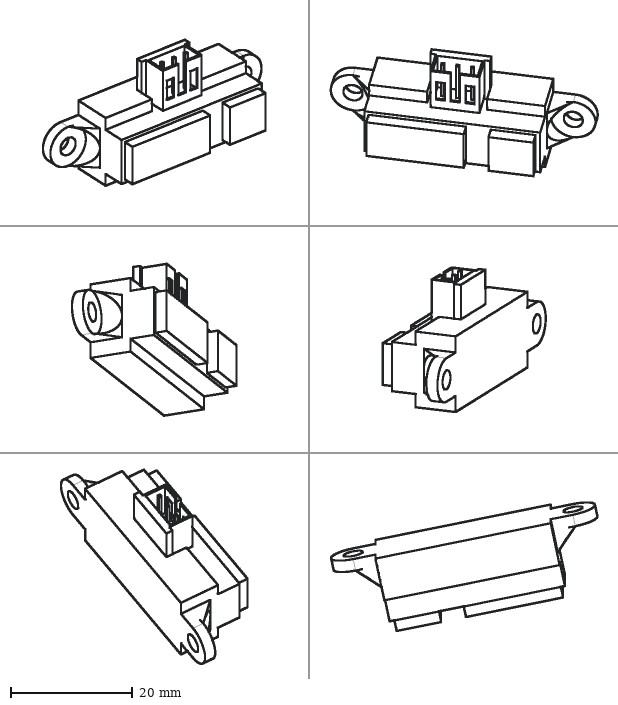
import cadquery as cq

overall_length = 44.5
ear_radius = 3.75
ear_thickness = 2.0
ear_hole_diameter = 3.2
ear_hole_offset = overall_length / 2 - ear_radius

rear_depth = 7.25
rear_height = 13.0
housing_length = 2 * (ear_hole_offset - ear_radius)
front_face_x = 11.5
front_height = 8.45
lens_face_x = 13.5
lens_height = 7.15
small_lens_length = 7.5
small_lens_y = 10.25
large_lens_length = 16.38
large_lens_y = -5.87

rear_top_z = rear_height / 2
front_top_z = front_height / 2
board_top_z = 12.4
board_back_x = 3.35
board_front_x = 4.55
board_width = 10.05

connector_front_x = 9.0
connector_bottom_z = 4.75
connector_width = 8.2
connector_wall = 0.3
connector_floor = 1.0
key_slot_width = 1.5
window_width = 1.5
window_offset = 2.5
window_top_drop = 2.22
pin_size = 0.5
pin_pitch = 2.5


def block(x_range, y_center, y_length, z_range):
    """Box spanning the given X and Z ranges, centred on y_center."""
    x_min, x_max = x_range
    z_min, z_max = z_range
    return (
        cq.Workplane("XY")
        .box(x_max - x_min, y_length, z_max - z_min, centered=(False, True, False))
        .translate((x_min, y_center, z_min))
    )


def centered_block(x_range, y_center, y_length, height):
    """Box whose height is centred on the housing's mid-plane."""
    return block(x_range, y_center, y_length, (-height / 2, height / 2))


def cylinder(y_center, radius, x_min, length):
    """Cylinder along X at mid-height."""
    return cq.Workplane("YZ", origin=(x_min, 0, 0)).center(y_center, 0).circle(radius).extrude(length)


def make_housing():
    """Stepped body, lens covers and the notch the connector sits in."""
    housing = centered_block((0, rear_depth), 0, housing_length, rear_height)
    housing = housing.union(centered_block((0, front_face_x), 0, housing_length, front_height))
    for lens_y, lens_length in ((small_lens_y, small_lens_length), (large_lens_y, large_lens_length)):
        housing = housing.union(
            centered_block((rear_depth, lens_face_x), lens_y, lens_length, lens_height)
        )
    notch = block((board_front_x, rear_depth), 0, board_width, (front_top_z, rear_top_z))
    return housing.cut(notch)


def make_ear():
    """Ear at the +Y end, with a 45 degree gusset hollowed by a round recess over the hole."""
    gusset_reach = ear_thickness + ear_radius
    housing_end = housing_length / 2
    gusset = (
        cq.Workplane("XY", origin=(0, 0, -ear_radius))
        .polyline([
            (0, housing_end),
            (gusset_reach, housing_end),
            (ear_thickness, ear_hole_offset),
            (0, ear_hole_offset),
        ])
        .close()
        .extrude(2 * ear_radius)
    )
    recess = cylinder(ear_hole_offset, ear_radius, ear_thickness, ear_radius)
    tip = cylinder(ear_hole_offset, ear_radius, 0, ear_thickness)
    hole = cylinder(ear_hole_offset, ear_hole_diameter / 2, 0, ear_thickness)
    return gusset.cut(recess).union(tip).cut(hole)


def make_connector():
    """Circuit board and connector box with its key slot, two windows and pins.

    The slot and windows stop level with the top of the housing, and the pins end
    flush with the rim.
    """
    board = block((board_back_x, board_front_x), 0, board_width, (front_top_z, board_top_z))
    shell = block(
        (board_front_x, connector_front_x), 0, connector_width, (connector_bottom_z, board_top_z)
    )
    floor_z = connector_bottom_z + connector_floor
    front_wall_x = connector_front_x - connector_wall
    cavity = block(
        (board_front_x + connector_wall, front_wall_x),
        0,
        connector_width - 2 * connector_wall,
        (floor_z, board_top_z),
    )
    key_slot = block((front_wall_x, connector_front_x), 0, key_slot_width, (rear_top_z, board_top_z))
    shell = shell.cut(cavity).cut(key_slot)
    for side in (-1, 1):
        window = block(
            (front_wall_x, connector_front_x),
            side * window_offset,
            window_width,
            (rear_top_z, board_top_z - window_top_drop),
        )
        shell = shell.cut(window)
    pin_x = (board_front_x + connector_front_x) / 2
    for pin_index in (-1, 0, 1):
        pin = block(
            (pin_x - pin_size / 2, pin_x + pin_size / 2),
            pin_index * pin_pitch,
            pin_size,
            (connector_bottom_z, board_top_z),
        )
        shell = shell.union(pin)
    return board.union(shell)


ear = make_ear()
result = make_housing().union(ear).union(ear.mirror("XZ")).union(make_connector())